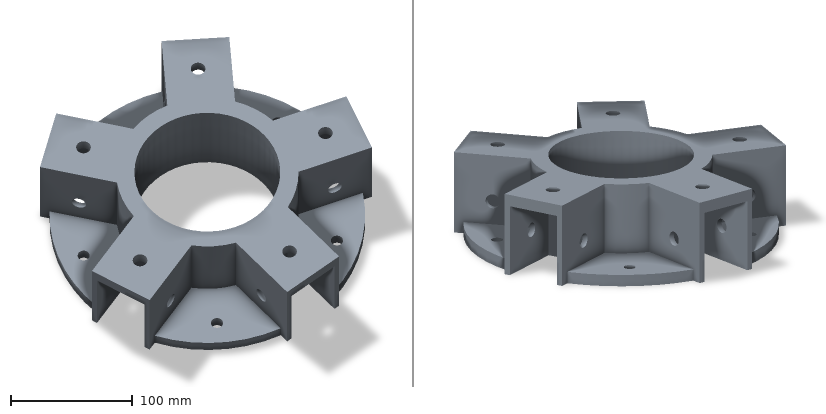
import cadquery as cq
import math

overall_width = 274.0
height = 70.0
arm_count = 5
arm_spacing = 360 / arm_count
first_arm_angle = 90.0

bore_radius = 60.0
ring_radius = 75.0
plate_radius = 130.0
plate_thickness = 10.0

arm_width = 56.0
side_wall = 5.0
roof_thickness = 10.0
channel_width = arm_width - 2 * side_wall
channel_height = height - roof_thickness
channel_start = ring_radius

tilt = math.radians(first_arm_angle - arm_spacing)
arm_reach = (overall_width / 2 - arm_width / 2 * math.sin(tilt)) / math.cos(tilt)

arm_hole_diameter = 12.0
roof_hole_distance = 105.0
side_hole_distance = 102.0
side_hole_height = 30.0
plate_hole_diameter = 10.0
plate_hole_distance = 110.0


def radial_block(start, end, width, block_height):
    """Block standing on the base plane, running outward along +X from start to end."""
    block = cq.Workplane("XY").box(end - start, width, block_height, centered=(False, True, False))
    return block.translate((start, 0, 0))


def upright_cylinder(distance, diameter):
    """Full-height vertical cylinder on the X axis at the given distance from the centre."""
    return cq.Workplane("XY").center(distance, 0).circle(diameter / 2).extrude(height)


def arm_cutters():
    """Channel, roof hole and side-wall holes of an arm that points along +X."""
    channel = radial_block(channel_start, arm_reach, channel_width, channel_height)
    roof_hole = upright_cylinder(roof_hole_distance, arm_hole_diameter)
    side_holes = (
        cq.Workplane("XZ")
        .center(side_hole_distance, side_hole_height)
        .circle(arm_hole_diameter / 2)
        .extrude(arm_width / 2, both=True)
    )
    return [channel, roof_hole, side_holes]


def turned(shape, angle):
    """Shape rotated about the vertical axis of the part."""
    return shape.rotate((0, 0, 0), (0, 0, 1), angle)


arm_angles = [first_arm_angle + i * arm_spacing for i in range(arm_count)]

result = cq.Workplane("XY").circle(plate_radius).extrude(plate_thickness)
result = result.union(cq.Workplane("XY").circle(ring_radius).extrude(height))
for angle in arm_angles:
    result = result.union(turned(radial_block(0, arm_reach, arm_width, height), angle))

result = result.cut(cq.Workplane("XY").circle(bore_radius).extrude(height))

plate_hole = upright_cylinder(plate_hole_distance, plate_hole_diameter)
for angle in arm_angles:
    for cutter in arm_cutters():
        result = result.cut(turned(cutter, angle))
    result = result.cut(turned(plate_hole, angle + arm_spacing / 2))